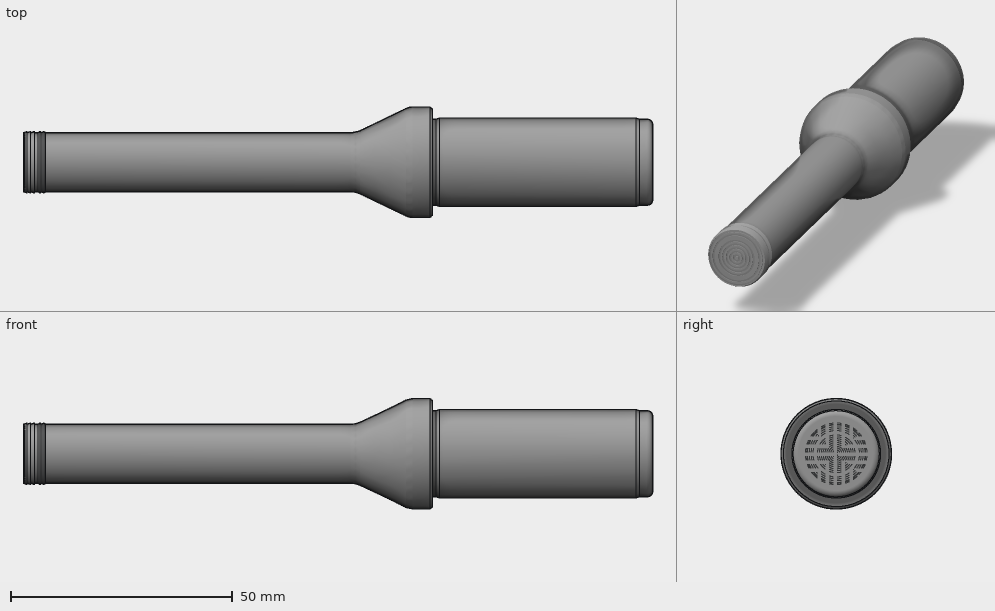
import cadquery as cq

total_length = 142.0
stem_diameter = 13.3
flange_diameter = 25.0
grip_diameter = 20.0
neck_diameter = 19.5

cone_start = 75.0
cone_end = 87.0
flange_end = 92.3
grip_start = 93.0
grip_chamfer = 0.9
grip_end = 138.2
end_step_length = 0.9

cone_foot_radius = 5.0
cone_rim_radius = 3.5
flange_chamfer = 0.5
end_radius = 1.3

rib_diameter = 13.9
barb_pitch = 0.9
first_barb = 0.7
barb_count = 3
vee_start = 3.3
vee_pitch = 0.9
vee_count = 2
tip_length = vee_start + vee_count * vee_pitch

ring_depth = 0.3
ring_width = 0.4
ring_pitch = 0.9
ring_groups = [(0.4, 5), (5.3, 2)]


def disc(start, end, diameter):
    """Round section centred on the X axis."""
    return cq.Workplane("YZ").workplane(offset=start).circle(diameter / 2).extrude(end - start)


def revolve_about_x(profile):
    return profile.close().revolve(360, (0, 0, 0), (1, 0, 0))


def ring_selector(station):
    """Selects the circular edge lying at one station along X."""
    reach = flange_diameter
    margin = 0.1
    return cq.selectors.BoxSelector((station - margin, -reach, -reach), (station + margin, reach, reach))


def make_handle():
    """Stem, conical flange and grip in one piece."""
    stem_radius = stem_diameter / 2
    flange_radius = flange_diameter / 2
    front = revolve_about_x(
        cq.Workplane("XY")
        .moveTo(tip_length, 0)
        .lineTo(tip_length, stem_radius)
        .lineTo(cone_start, stem_radius)
        .lineTo(cone_end, flange_radius)
        .lineTo(flange_end, flange_radius)
        .lineTo(flange_end, 0)
    )
    front = front.edges(ring_selector(cone_start)).fillet(cone_foot_radius)
    front = front.edges(ring_selector(cone_end)).fillet(cone_rim_radius)
    front = front.faces(">X").edges().chamfer(flange_chamfer)

    neck_radius = neck_diameter / 2
    grip_radius = grip_diameter / 2
    grip = revolve_about_x(
        cq.Workplane("XY")
        .moveTo(flange_end, 0)
        .lineTo(flange_end, neck_radius)
        .lineTo(grip_start, neck_radius)
        .lineTo(grip_start + grip_chamfer, grip_radius)
        .lineTo(grip_end, grip_radius)
        .lineTo(grip_end + end_step_length, neck_radius)
        .lineTo(total_length, neck_radius)
        .lineTo(total_length, 0)
    )
    grip = grip.faces(">X").edges().fillet(end_radius)
    return front.union(grip)


def make_tip_blank():
    """Tip with sawtooth barbs followed by symmetric vee ribs."""
    root_radius = stem_diameter / 2
    crest_radius = rib_diameter / 2
    profile = cq.Workplane("XY").lineTo(0, root_radius)
    for index in range(barb_count):
        crest = first_barb + index * barb_pitch
        profile = profile.lineTo(crest, crest_radius).lineTo(crest, root_radius)
    profile = profile.lineTo(vee_start, root_radius)
    for index in range(vee_count):
        root = vee_start + index * vee_pitch
        profile = profile.lineTo(root + vee_pitch / 2, crest_radius)
        profile = profile.lineTo(root + vee_pitch, root_radius)
    return revolve_about_x(profile.lineTo(tip_length, 0))


def make_tip():
    """Ribbed tip with concentric rings sunk into its end face."""
    tip = make_tip_blank()
    for first_radius, ring_count in ring_groups:
        for index in range(ring_count):
            inner_radius = first_radius + index * ring_pitch
            ring = disc(0, ring_depth, 2 * (inner_radius + ring_width))
            tip = tip.cut(ring.cut(disc(0, ring_depth, 2 * inner_radius)))
    return tip


handle = make_handle()
tip = make_tip()

result = cq.Compound.makeCompound([handle.val(), tip.val()])